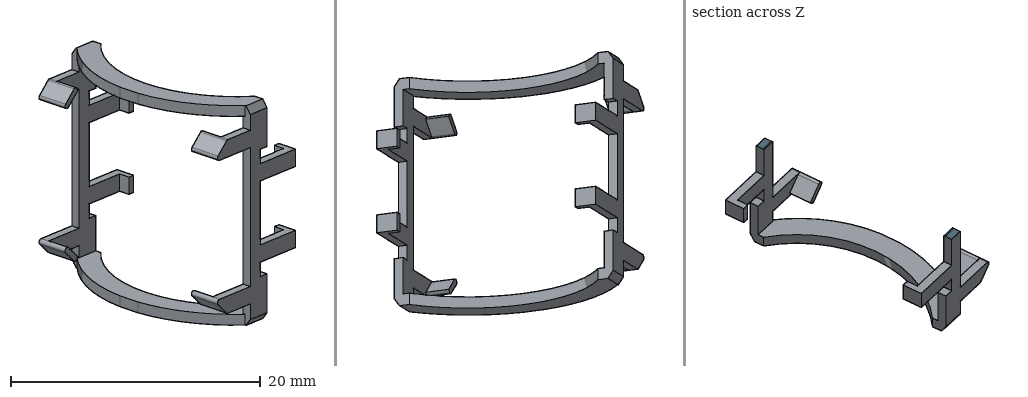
import cadquery as cq
import math

width = 19.3
height = 19.0
wall_thickness = 0.8
corner_chamfer_x = 0.46
corner_chamfer_z = 0.64

wall_depth = 1.22
pad_depth = 2.0
pad_inner_z = 5.5

band_height = 0.95
outer_end_x = 9.09
outer_sag = 3.86
front_flat_y = -3.82
inner_end_x = 8.32
inner_front_y = -1.85

arm_height = 1.5
hook_bottom_z = 2.76
hook_back_y = 5.4
hook_reach = 1.8
hook_thickness = 0.56

clip_front_y = -3.92
clip_bottom_z = 6.0
clip_reach = 2.82
lip_thickness = 0.5
lip_round = 0.21

half_width = width / 2
half_height = height / 2
clip_top_z = clip_bottom_z + arm_height
diagonal = math.sqrt(0.5)


def block(x0, x1, y0, y1, z0, z1):
    """Box spanning the given limits."""
    return cq.Workplane("XY").box(x1 - x0, y1 - y0, z1 - z0, centered=False).translate((x0, y0, z0))


def make_wall():
    inner_x = -half_width + wall_thickness
    wall = block(-half_width, inner_x, 0, wall_depth, -half_height, half_height)
    pad = block(-half_width, inner_x, 0, pad_depth, pad_inner_z, half_height)
    return wall.union(pad).union(pad.mirror("XY"))


def make_hook():
    top_z = hook_bottom_z + arm_height
    arm = block(-half_width, -half_width + wall_thickness, 0, hook_back_y, hook_bottom_z, top_z)
    finger = block(
        -half_width, -half_width + hook_reach,
        hook_back_y - hook_thickness, hook_back_y, hook_bottom_z, top_z,
    )
    return arm.union(finger)


def make_clip():
    tip_radius = lip_thickness / 2
    center_y = clip_front_y + tip_radius
    center_z = clip_bottom_z + tip_radius
    half_step = tip_radius * diagonal
    front_y = center_y - half_step
    front_z = center_z + half_step
    corner_z = clip_top_z + lip_round * (math.sqrt(2) - 1)
    corner_y = front_y + corner_z - front_z
    lip = (
        cq.Workplane("YZ", origin=(-half_width, 0, 0))
        .moveTo(front_y, front_z)
        .lineTo(corner_y, corner_z)
        .lineTo(corner_y + 2 * half_step, corner_z - 2 * half_step)
        .lineTo(center_y + half_step, center_z - half_step)
        .threePointArc((center_y - half_step, center_z - half_step), (front_y, front_z))
        .close()
        .extrude(clip_reach)
        .edges("|X and >Z")
        .fillet(lip_round)
    )
    arm_outline = [
        (0, clip_bottom_z),
        (center_y, clip_bottom_z),
        (center_y, center_z),
        (corner_y, clip_top_z),
        (0, clip_top_z),
    ]
    arm = (
        cq.Workplane("YZ", origin=(-half_width, 0, 0))
        .polyline(arm_outline)
        .close()
        .extrude(wall_thickness)
    )
    return arm.union(lip)


def make_band():
    outer_radius = (outer_end_x**2 + outer_sag**2) / (2 * outer_sag)
    arc_center_y = outer_radius - outer_sag
    flat_half = math.sqrt(outer_radius**2 - (arc_center_y - front_flat_y) ** 2)
    return (
        cq.Workplane("XY", origin=(0, 0, half_height - band_height))
        .moveTo(-half_width, 0)
        .lineTo(-outer_end_x, 0)
        .radiusArc((-flat_half, front_flat_y), -outer_radius)
        .lineTo(flat_half, front_flat_y)
        .radiusArc((outer_end_x, 0), -outer_radius)
        .lineTo(half_width, 0)
        .lineTo(half_width, pad_depth)
        .lineTo(inner_end_x, pad_depth)
        .threePointArc((0, inner_front_y), (-inner_end_x, pad_depth))
        .lineTo(-half_width, pad_depth)
        .close()
        .extrude(band_height)
    )


def make_envelope():
    """Outer block whose four corners, seen along Y, are beveled."""
    shoulder_x = half_width - corner_chamfer_x
    shoulder_z = half_height - corner_chamfer_z
    return (
        cq.Workplane("XZ")
        .polyline([
            (-half_width, -shoulder_z), (-shoulder_x, -half_height),
            (shoulder_x, -half_height), (half_width, -shoulder_z),
            (half_width, shoulder_z), (shoulder_x, half_height),
            (-shoulder_x, half_height), (-half_width, shoulder_z),
        ])
        .close()
        .extrude(width, both=True)
    )


side = make_wall()
for feature in (make_hook(), make_clip()):
    side = side.union(feature).union(feature.mirror("XY"))

band = make_band()
frame = side.union(side.mirror("YZ")).union(band).union(band.mirror("XY"))
result = frame.intersect(make_envelope())